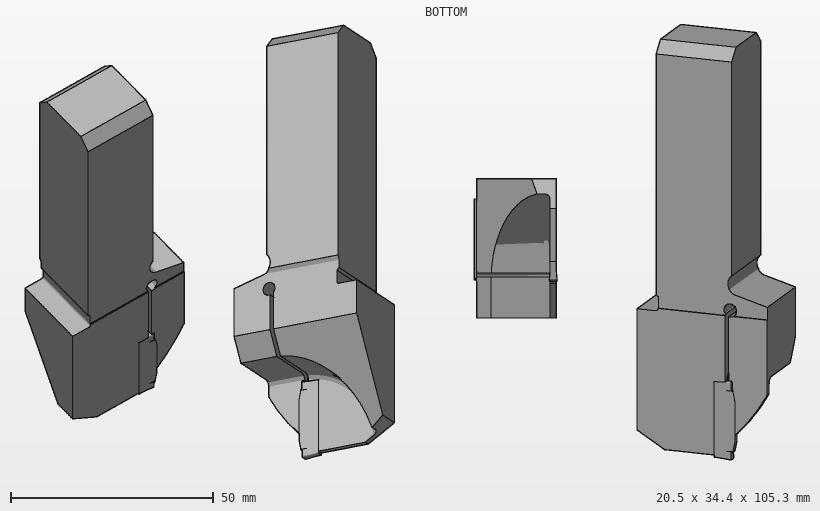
import cadquery as cq
import math


shank_size = 20.0
overall_height = 105.29
top_chamfer = 3.0

head_back = 29.45
head_front = -4.95
head_left = 0.6
left_step_radius = 1.7
left_step_start = 42.3
right_step_height = 37.0
flank_angle = 31.2
flank_top = 27.6
toe_top = 5.2
toe_end_y = 2.4

notch_radius = 2.8
notch_depth = 1.0
notch_z = 45.15
shoulder_angle = 15.0

relief_depth = 0.6
relief_top = 40.5
ledge_z = 36.35
ledge_fillet = 0.6

blade_left = 18.7
blade_right = 20.3
blade_bottom = 0.86
blade_arc_y = 20.0
blade_arc_z = 0.3
blade_arc_radius = 21.4
blade_fillet = 1.5

jaw_back_z = 17.6
jaw_nose_z = 6.4
jaw_bulge = 0.5

slot_y = 18.85
slot_width = 1.0
slot_hole_y = 19.63
slot_hole_z = 38.4
slot_hole_diameter = 3.3

insert_length = 20.0
insert_front = 15.5
insert_back = 20.95
edge_y = 20.0
land_length = 1.6
chip_step_y = 20.45
chip_step_z = 2.2
back_start_z = 4.6
end_relief_angle = 3.0
tip_radius = 0.3
cutting_width = 2.03
head_corner_y = 18.9
head_end_y = 17.75
head_clearance = 0.3

margin = 5.0
blade_width = blade_right - blade_left
blade_middle = (blade_left + blade_right) / 2


def end_z(y):
    """Height of the lower end face of the insert, which rises away from the cutting edge."""
    return (edge_y - y) * math.tan(math.radians(end_relief_angle))


def slab(profile, x_start, x_end):
    """Extrude a closed YZ profile from x_start to x_end."""
    return profile.extrude(x_end - x_start).translate((x_start, 0, 0))


def front_silhouette():
    """XZ outline of the holder, extruded over its whole depth."""
    step_rise = math.sqrt(left_step_radius**2 - (left_step_radius - head_left) ** 2)
    half_angle = math.asin(step_rise / left_step_radius) / 2
    arc_middle = (
        head_left - left_step_radius * (1 - math.cos(half_angle)),
        left_step_start + left_step_radius * math.sin(half_angle),
    )
    flank_end_x = head_left + (flank_top - blade_bottom) * math.tan(math.radians(flank_angle))
    return (
        cq.Workplane("XZ", origin=(0, head_back, 0))
        .moveTo(top_chamfer, overall_height)
        .lineTo(shank_size - top_chamfer, overall_height)
        .lineTo(shank_size, overall_height - top_chamfer)
        .lineTo(shank_size, right_step_height)
        .lineTo(blade_right, right_step_height)
        .lineTo(blade_right, blade_bottom)
        .lineTo(flank_end_x, blade_bottom)
        .lineTo(head_left, flank_top)
        .lineTo(head_left, left_step_start)
        .threePointArc(arc_middle, (0, left_step_start + step_rise))
        .lineTo(0, overall_height - top_chamfer)
        .close()
        .extrude(head_back - head_front)
    )


def side_silhouette():
    """YZ outline of the holder, extruded over its whole width."""
    angle = math.radians(shoulder_angle)
    notch_y = shank_size - notch_depth + notch_radius
    notch_half = math.sqrt(notch_radius**2 - (notch_radius - notch_depth) ** 2)
    notch_end_y = notch_y - notch_radius * math.sin(angle)
    notch_end_z = notch_z - notch_radius * math.cos(angle)
    shoulder_end_z = notch_end_z - (head_back - notch_end_y) * math.tan(angle)
    profile = (
        cq.Workplane("YZ")
        .moveTo(0, overall_height)
        .lineTo(shank_size, overall_height)
        .lineTo(shank_size, notch_z + notch_half)
        .threePointArc((shank_size - notch_depth, notch_z), (notch_end_y, notch_end_z))
        .lineTo(head_back, shoulder_end_z)
        .lineTo(head_back, jaw_back_z)
        .sagittaArc((insert_back, jaw_nose_z), jaw_bulge)
        .lineTo(slot_y, jaw_nose_z)
        .lineTo(slot_y, blade_bottom)
        .lineTo(toe_end_y, blade_bottom)
        .lineTo(head_front, toe_top)
        .lineTo(head_front, ledge_z)
        .lineTo(relief_depth - ledge_fillet, ledge_z)
        .radiusArc((relief_depth, ledge_z + ledge_fillet), -ledge_fillet)
        .lineTo(relief_depth, relief_top - relief_depth)
        .lineTo(0, relief_top)
        .close()
    )
    return slab(profile, 0, blade_right)


def blade_recess():
    """Material taken off the -X side below the round wall, leaving the thin blade."""
    outer_y = head_back + margin
    wall_top = blade_arc_z + blade_arc_radius
    wall_front = blade_arc_y - blade_arc_radius
    diagonal = blade_arc_radius * math.cos(math.radians(45))
    profile = (
        cq.Workplane("YZ")
        .moveTo(outer_y, wall_top)
        .lineTo(blade_arc_y, wall_top)
        .threePointArc((blade_arc_y - diagonal, blade_arc_z + diagonal), (wall_front, blade_arc_z))
        .lineTo(wall_front, -margin)
        .lineTo(outer_y, -margin)
        .close()
    )
    return slab(profile, -margin, blade_left).faces(">X").edges().fillet(blade_fillet)


def clamping_slot():
    """Hole and slot that free the jaw, cut through the full width."""
    slot_bottom = insert_length
    slot_height = slot_hole_z - slot_bottom
    hole = cq.Workplane("YZ").center(slot_hole_y, slot_hole_z).circle(slot_hole_diameter / 2)
    slot = cq.Workplane("YZ").center(slot_y, slot_bottom + slot_height / 2).rect(slot_width, slot_height)
    return slab(hole, 0, blade_right).union(slab(slot, 0, blade_right))


def insert_profile():
    """YZ outline of the insert, mirrored about its mid height."""
    lower = [
        (insert_front, end_z(insert_front)),
        (edge_y, 0),
        (edge_y, land_length),
        (chip_step_y, chip_step_z),
        (insert_back, back_start_z),
    ]
    upper = [(y, insert_length - z) for y, z in reversed(lower)]
    return cq.Workplane("YZ").polyline(lower + upper).close()


def insert_seat():
    """Pocket that fits the insert, with free space around its upper cutting head."""
    head_space = (
        cq.Workplane("YZ")
        .moveTo(slot_y - slot_width / 2, insert_length + head_clearance)
        .lineTo(edge_y, insert_length + head_clearance)
        .lineTo(edge_y + head_clearance, insert_length)
        .lineTo(edge_y + head_clearance, insert_length - chip_step_z)
        .lineTo(slot_y - slot_width / 2, insert_length - chip_step_z)
        .close()
    )
    return slab(insert_profile(), 0, blade_right).union(slab(head_space, 0, blade_right))


def cutting_head():
    """Lower head of the insert: full width at the cutting edge, tapering back to blade width."""
    outline = (
        cq.Workplane("YZ")
        .moveTo(edge_y, 0)
        .lineTo(edge_y, land_length)
        .lineTo(chip_step_y, chip_step_z)
        .lineTo(head_corner_y, chip_step_z)
        .lineTo(head_end_y, end_z(head_end_y))
        .close()
    )
    head = slab(outline, blade_left - margin, blade_right + margin)

    root_z = end_z(head_end_y)
    run_y = head_corner_y - head_end_y
    run_z = chip_step_z - root_z
    reach = ((edge_y - head_end_y) * run_z + root_z * run_y) / math.hypot(run_y, run_z)
    root_plane = cq.Plane(
        origin=(blade_middle, head_end_y, root_z), xDir=(1, 0, 0), normal=(0, run_y, run_z)
    )
    taper = (
        cq.Workplane(root_plane)
        .moveTo(-blade_width / 2, 0)
        .lineTo(blade_width / 2, 0)
        .lineTo(cutting_width / 2, reach)
        .lineTo(-cutting_width / 2, reach)
        .close()
        .extrude(margin, both=True)
    )
    return head.intersect(taper).faces("<Z").edges("not #Y").fillet(tip_radius)


def build_insert():
    """Insert: blade-wide body with a cutting head at each end and rounded cutting corners."""
    lower_head = cutting_head()
    upper_head = lower_head.mirror("XY", (0, 0, insert_length / 2))
    body = slab(insert_profile(), blade_left, blade_right)
    for end in ("<Z", ">Z"):
        body = body.faces(end).edges("not #Y").fillet(tip_radius)
    return body.union(lower_head).union(upper_head)


def build_holder():
    """Shank, head, blade and clamping jaw in one piece."""
    holder = front_silhouette().intersect(side_silhouette())
    return holder.cut(blade_recess()).cut(clamping_slot()).cut(insert_seat())


holder = build_holder()
insert = build_insert()
result = cq.Compound.makeCompound([holder.val(), insert.val()])